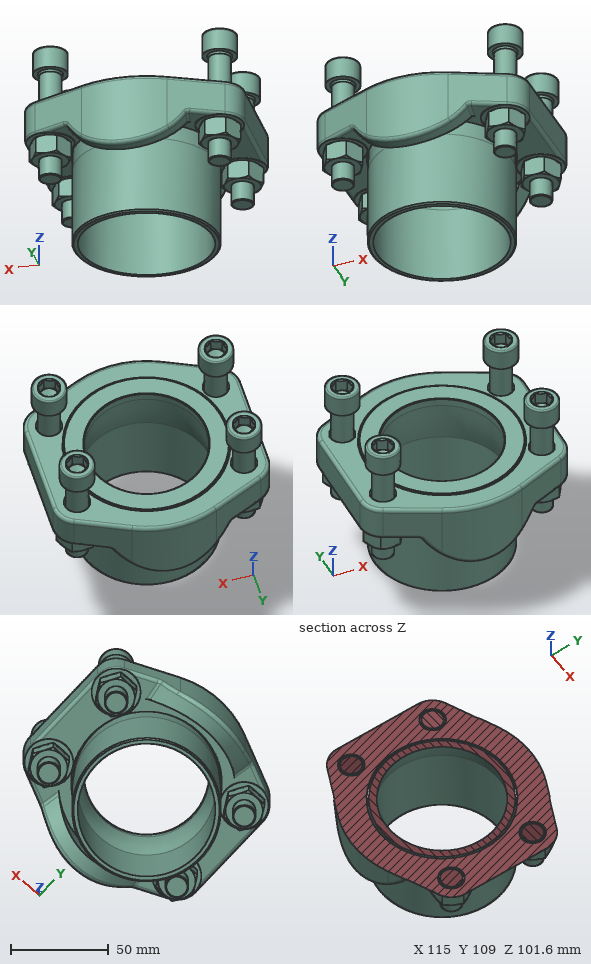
import cadquery as cq
import math


BOLT_X = 44.45
BOLT_Y = 25.4
BOLT_POINTS = [(side_x * BOLT_X, side_y * BOLT_Y) for side_x in (-1, 1) for side_y in (-1, 1)]

FLANGE_TOP = -0.5
FLANGE_THICKNESS = 19.5
FLANGE_BOTTOM = FLANGE_TOP - FLANGE_THICKNESS
FLANGE_LENGTH = 115.0
BELLY_RADIUS = 54.49
CORNER_RADIUS = FLANGE_LENGTH / 2 - BOLT_X
RIM_FILLET = 2.0
BOLT_HOLE_DIAMETER = 13.5
SPOTFACE_DIAMETER = 25.0
SPOTFACE_DEPTH = 0.5
NUT_SEAT = FLANGE_BOTTOM + SPOTFACE_DEPTH

LOBE_RADIUS = 38.5
LOBE_DRAFT = 8.0
LOBE_ROOT_FILLET = 2.0
LOBE_RELIEF_DIAMETER = 90.0
LOBE_BOTTOM = FLANGE_TOP - LOBE_RADIUS

PIPE_LENGTH = 70.0
PIPE_OUTER_DIAMETER = 76.1
PIPE_INNER_DIAMETER = 70.3
PIPE_END_CHAMFER = 0.8
COLLAR_DIAMETER = 84.95
COLLAR_FACE_DIAMETER = 84.1
COLLAR_THICKNESS = 16.0
NECK_DIAMETER = 74.95
NECK_END_Z = -28.3
MOUTH_DIAMETER = 64.0
MOUTH_CHAMFER = 0.4
MOUTH_DEPTH = 4.5

COLLAR_SEAT_DIAMETER = 86.0
PIPE_PASSAGE_DIAMETER = 77.0

SHANK_DIAMETER = 11.7
SHANK_LENGTH = 60.0
SHANK_TIP_CHAMFER = 0.5
HEAD_DIAMETER = 18.0
HEAD_HEIGHT = 12.0
HEAD_FILLET = 0.9
HEAD_UNDERSIDE = 19.6
HEAD_TOP = HEAD_UNDERSIDE + HEAD_HEIGHT
SHANK_END = HEAD_UNDERSIDE - SHANK_LENGTH
NECK_FLARE_WIDTH = 0.65
NECK_FLARE_HEIGHT = 1.2
SOCKET_FLATS = 10.0
SOCKET_DEPTH = 7.0
SOCKET_TURN = 40.0
SOCKET_MOUTH_DIAMETER = 11.7
SOCKET_TIP_ANGLE = 120.0

NUT_FLATS = 19.0
NUT_HEIGHT = 10.3
NUT_CHAMFER_ANGLE = 30.0


def cylinder(diameter, bottom, top):
    """Upright cylinder on the Z axis."""
    return cq.Workplane("XY").workplane(offset=bottom).circle(diameter / 2).extrude(top - bottom)


def cone_down(diameter, tip_angle, top):
    """Cone on the Z axis with its base at `top` and its tip below."""
    radius = diameter / 2
    depth = radius / math.tan(math.radians(tip_angle / 2))
    return cq.Workplane("XY").add(cq.Solid.makeCone(0, radius, depth, pnt=cq.Vector(0, 0, top - depth)))


def width_across_corners(flats):
    return flats / math.cos(math.radians(30))


def flange_prism(bottom):
    """Flange outline, belly and corner arcs joined by tangent lines, extruded down to `bottom`."""
    pattern_radius = math.hypot(BOLT_X, BOLT_Y)
    pattern_angle = math.atan2(BOLT_Y, BOLT_X)
    normal = pattern_angle + math.acos((BELLY_RADIUS - CORNER_RADIUS) / pattern_radius)
    side_x = FLANGE_LENGTH / 2
    belly_x = BELLY_RADIUS * math.cos(normal)
    belly_y = BELLY_RADIUS * math.sin(normal)
    corner_x = BOLT_X + CORNER_RADIUS * math.cos(normal)
    corner_y = BOLT_Y + CORNER_RADIUS * math.sin(normal)
    corner_mid_x = BOLT_X + CORNER_RADIUS * math.cos(normal / 2)
    corner_mid_y = BOLT_Y + CORNER_RADIUS * math.sin(normal / 2)
    outline = (
        cq.Workplane("XY", origin=(0, 0, FLANGE_TOP))
        .moveTo(side_x, -BOLT_Y)
        .lineTo(side_x, BOLT_Y)
        .threePointArc((corner_mid_x, corner_mid_y), (corner_x, corner_y))
        .lineTo(belly_x, belly_y)
        .threePointArc((0, BELLY_RADIUS), (-belly_x, belly_y))
        .lineTo(-corner_x, corner_y)
        .threePointArc((-corner_mid_x, corner_mid_y), (-side_x, BOLT_Y))
        .lineTo(-side_x, -BOLT_Y)
        .threePointArc((-corner_mid_x, -corner_mid_y), (-corner_x, -corner_y))
        .lineTo(-belly_x, -belly_y)
        .threePointArc((0, -BELLY_RADIUS), (belly_x, -belly_y))
        .lineTo(corner_x, -corner_y)
        .threePointArc((corner_mid_x, -corner_mid_y), (side_x, -BOLT_Y))
        .close()
    )
    return outline.extrude(bottom - FLANGE_TOP)


def drafted_lobes():
    """Two cones along Y that shrink toward the middle, trimmed to the flange outline."""
    middle_radius = LOBE_RADIUS - BELLY_RADIUS * math.tan(math.radians(LOBE_DRAFT))
    cones = (
        cq.Workplane("XY", origin=(0, 0, FLANGE_TOP))
        .moveTo(0, -BELLY_RADIUS)
        .lineTo(LOBE_RADIUS, -BELLY_RADIUS)
        .lineTo(middle_radius, 0)
        .lineTo(LOBE_RADIUS, BELLY_RADIUS)
        .lineTo(0, BELLY_RADIUS)
        .close()
        .revolve(360, (0, 0, 0), (0, 1, 0))
    )
    return cones.intersect(flange_prism(LOBE_BOTTOM))


def is_lobe_root(edge):
    """True for the edges where a lobe leaves the underside of the plate."""
    middle = edge.positionAt(0.5)
    from_axis = math.hypot(middle.x, middle.y)
    at_underside = abs(middle.z - FLANGE_BOTTOM) < 0.01
    return at_underside and LOBE_RELIEF_DIAMETER / 2 + 0.1 < from_axis < BELLY_RADIUS - 0.1


def is_rim(edge):
    """True for the edges that run along the flange outline."""
    middle = edge.positionAt(0.5)
    return math.hypot(middle.x, middle.y) > BELLY_RADIUS - 0.1


def make_flange():
    flange = flange_prism(FLANGE_BOTTOM).union(drafted_lobes())
    flange = flange.cut(cylinder(LOBE_RELIEF_DIAMETER, LOBE_BOTTOM, FLANGE_BOTTOM))
    lobe_roots = [edge for edge in flange.edges().vals() if is_lobe_root(edge)]
    flange = flange.newObject(lobe_roots).fillet(LOBE_ROOT_FILLET)
    rims = [edge for edge in flange.edges("not |Z").vals() if is_rim(edge)]
    flange = flange.newObject(rims).fillet(RIM_FILLET)

    flange = flange.cut(cylinder(COLLAR_SEAT_DIAMETER, -COLLAR_THICKNESS, FLANGE_TOP))
    flange = flange.cut(cylinder(PIPE_PASSAGE_DIAMETER, FLANGE_BOTTOM, FLANGE_TOP))
    bolt_hole = cylinder(BOLT_HOLE_DIAMETER, FLANGE_BOTTOM, FLANGE_TOP)
    spotface = cylinder(SPOTFACE_DIAMETER, FLANGE_BOTTOM - LOBE_ROOT_FILLET, NUT_SEAT)
    for x, y in BOLT_POINTS:
        flange = flange.cut(bolt_hole.translate((x, y, 0)))
        flange = flange.cut(spotface.translate((x, y, 0)))
    return flange


def make_pipe():
    """Pipe with a collar; the bore widens along an arc from the mouth to the pipe bore."""
    outer_radius = PIPE_OUTER_DIAMETER / 2
    inner_radius = PIPE_INNER_DIAMETER / 2
    mouth_radius = MOUTH_DIAMETER / 2
    collar_radius = COLLAR_DIAMETER / 2
    face_radius = COLLAR_FACE_DIAMETER / 2

    widening = inner_radius - mouth_radius
    arc_height = -MOUTH_DEPTH - NECK_END_Z
    arc_radius = (arc_height**2 + widening**2) / (2 * widening)
    half_sweep = math.asin(arc_height / arc_radius) / 2
    arc_middle = (
        mouth_radius + arc_radius * (1 - math.cos(half_sweep)),
        -MOUTH_DEPTH - arc_radius * math.sin(half_sweep),
    )
    return (
        cq.Workplane("XZ")
        .moveTo(mouth_radius + MOUTH_CHAMFER, 0)
        .lineTo(face_radius, 0)
        .lineTo(collar_radius, face_radius - collar_radius)
        .lineTo(collar_radius, -COLLAR_THICKNESS)
        .lineTo(NECK_DIAMETER / 2, -COLLAR_THICKNESS)
        .lineTo(outer_radius, NECK_END_Z)
        .lineTo(outer_radius, -PIPE_LENGTH + PIPE_END_CHAMFER)
        .lineTo(outer_radius - PIPE_END_CHAMFER, -PIPE_LENGTH)
        .lineTo(inner_radius, -PIPE_LENGTH)
        .lineTo(inner_radius, NECK_END_Z)
        .threePointArc(arc_middle, (mouth_radius, -MOUTH_DEPTH))
        .lineTo(mouth_radius, -MOUTH_CHAMFER)
        .close()
        .revolve(360, (0, 0, 0), (0, 1, 0))
    )


def make_bolt(x, y):
    head = cylinder(HEAD_DIAMETER, HEAD_UNDERSIDE, HEAD_TOP)
    head = head.faces(">Z").edges().fillet(HEAD_FILLET)
    shank = cylinder(SHANK_DIAMETER, SHANK_END, HEAD_UNDERSIDE)
    shank = shank.faces("<Z").edges().chamfer(SHANK_TIP_CHAMFER)
    flare = cylinder(SHANK_DIAMETER + 2 * NECK_FLARE_WIDTH, HEAD_UNDERSIDE - NECK_FLARE_HEIGHT, HEAD_UNDERSIDE)
    flare = flare.faces("<Z").edges().chamfer(NECK_FLARE_HEIGHT * 0.999, NECK_FLARE_WIDTH)
    bolt = head.union(shank).union(flare)

    hexagon = (
        cq.Workplane("XY")
        .workplane(offset=HEAD_TOP)
        .polygon(6, width_across_corners(SOCKET_FLATS))
        .extrude(-SOCKET_DEPTH)
        .rotate((0, 0, 0), (0, 0, 1), SOCKET_TURN)
    )
    mouth = cone_down(SOCKET_MOUTH_DIAMETER, 90, HEAD_TOP)
    floor = cone_down(SOCKET_FLATS, SOCKET_TIP_ANGLE, HEAD_TOP - SOCKET_DEPTH)
    bolt = bolt.cut(hexagon).cut(mouth).cut(floor)
    return bolt.translate((x, y, 0))


def make_nut(x, y):
    corners = width_across_corners(NUT_FLATS)
    bottom = NUT_SEAT - NUT_HEIGHT
    chamfer_width = (corners - NUT_FLATS) / 2
    chamfer_height = chamfer_width * math.tan(math.radians(NUT_CHAMFER_ANGLE))
    hexagon = cq.Workplane("XY").workplane(offset=bottom).polygon(6, corners).extrude(NUT_HEIGHT)
    envelope = cylinder(corners, bottom, NUT_SEAT).faces("<Z or >Z").edges()
    envelope = envelope.chamfer(chamfer_height, chamfer_width)
    nut = hexagon.intersect(envelope).cut(cylinder(SHANK_DIAMETER, bottom, NUT_SEAT))
    return nut.translate((x, y, 0))


flange = make_flange()
pipe = make_pipe()
bolts = [make_bolt(x, y).val() for x, y in BOLT_POINTS]
nuts = [make_nut(x, y).val() for x, y in BOLT_POINTS]

result = cq.Compound.makeCompound([flange.val(), pipe.val(), *bolts, *nuts])